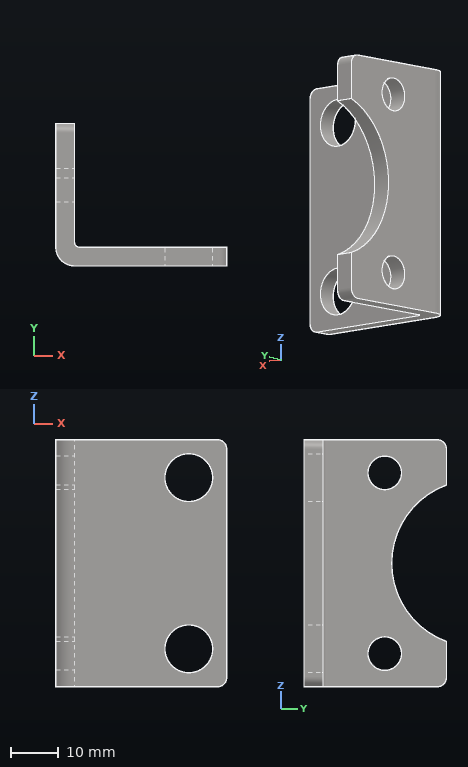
import cadquery as cq

length_x = 36.0
length_y = 30.0
height = 52.0
thickness = 4.0

bend_outer_radius = 4.0
bend_inner_radius = 1.0
corner_radius = 2.0

mid_height = height / 2
front_hole_diameter = 10.0
front_hole_x = 28.0
front_hole_spacing = 36.0
side_hole_diameter = 7.0
side_hole_y = 17.0
side_hole_spacing = 38.0

clearance_radius = 17.5
clearance_center_y = 36.0


def bent_plate():
    """L profile in XY with rounded bend, extruded along Z."""
    profile = [
        (0, 0),
        (length_x, 0),
        (length_x, thickness),
        (thickness, thickness),
        (thickness, length_y),
        (0, length_y),
    ]
    plate = cq.Workplane("XY").polyline(profile).close().extrude(height)
    plate = plate.edges(cq.NearestToPointSelector((0, 0, mid_height))).fillet(bend_outer_radius)
    inner_bend = cq.NearestToPointSelector((thickness, thickness, mid_height))
    return plate.edges(inner_bend).fillet(bend_inner_radius)


def round_free_corners(plate):
    """Round the top and bottom corners at the free end of each leg."""
    plate = plate.faces(">X").edges("|Y").fillet(corner_radius)
    return plate.faces(">Y").edges("|X").fillet(corner_radius)


def cylinder_along_y(diameter, x, z):
    """Cutter through the front leg, starting at its outer face."""
    return cq.Workplane(
        cq.Solid.makeCylinder(diameter / 2, thickness, cq.Vector(x, 0, z), cq.Vector(0, 1, 0))
    )


def cylinder_along_x(diameter, y, z):
    """Cutter through the side leg, starting at its outer face."""
    return cq.Workplane(
        cq.Solid.makeCylinder(diameter / 2, thickness, cq.Vector(0, y, z), cq.Vector(1, 0, 0))
    )


result = round_free_corners(bent_plate())

for side in (-1, 1):
    front_hole_z = mid_height + side * front_hole_spacing / 2
    side_hole_z = mid_height + side * side_hole_spacing / 2
    result = result.cut(cylinder_along_y(front_hole_diameter, front_hole_x, front_hole_z))
    result = result.cut(cylinder_along_x(side_hole_diameter, side_hole_y, side_hole_z))

result = result.cut(cylinder_along_x(2 * clearance_radius, clearance_center_y, mid_height))